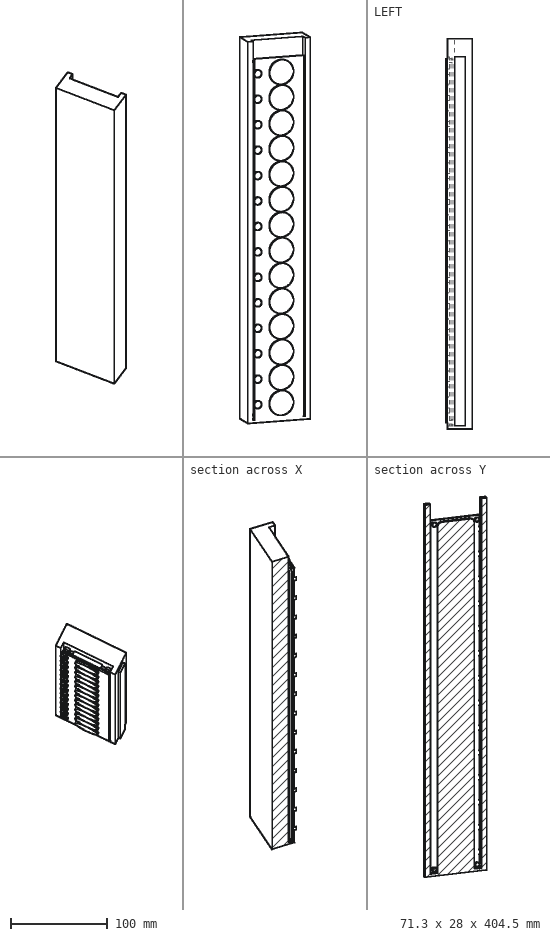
import cadquery as cq

height = 404.5
width = 68.8
depth = 26.0
back = depth
center_x = width / 2

recess_width = 57.0
recess_depth = 7.0
recess_floor = 3.2
recess_face = back - recess_depth

strip_rise = 2.5
strip_depth = 11.0
strip_y = 7.5
strip_bottom = 3.2
strip_top = 386.0

panel_width = 54.0
panel_thickness = 2.0
panel_top = strip_top
panel_inner_face = back - panel_thickness

core_width = 32.5
core_top = panel_top - 2.0
flange_width = 41.3
flange_thickness = 2.5
flange_radius = 5.0

post_diameter = 4.0
post_base_diameter = 5.3
post_offset = 24.0
post_inset = 4.0

gap_middle = (recess_face + panel_inner_face) / 2

cap_count = 14
cap_diameter = 26.3
cap_row_length = 377.0
cap_row_bottom = 6.5
cap_shift = -2.0
cap_rise = 2.0
cap_pitch = (cap_row_length - cap_diameter) / (cap_count - 1)
button_diameter = 8.0
button_offset = post_offset


def block(x_size, y_min, y_max, z_min, z_max):
    """Box centred across the housing width."""
    size_y = y_max - y_min
    size_z = z_max - z_min
    corner = (center_x - x_size / 2, y_min, z_min)
    return cq.Workplane("XY").box(x_size, size_y, size_z, centered=False).translate(corner)


def disc(diameter, x, z, y_min, y_max):
    """Cylinder along Y."""
    axis = cq.Vector(0, 1, 0)
    return cq.Workplane(cq.Solid.makeCylinder(diameter / 2, y_max - y_min, cq.Vector(x, y_min, z), axis))


def make_housing():
    body = block(width, 0, depth, 0, height)
    recess = block(recess_width, recess_face, back, recess_floor, height)
    strip = (
        cq.Workplane("XY")
        .box(strip_rise, strip_depth, strip_top - strip_bottom, centered=False)
        .translate((-strip_rise, strip_y, strip_bottom))
    )
    return body.cut(recess).union(strip)


def make_panel():
    panel = block(panel_width, panel_inner_face, back, recess_floor, panel_top)
    core = block(core_width, recess_face, panel_inner_face, recess_floor, core_top)
    flange = block(
        flange_width,
        gap_middle - flange_thickness / 2,
        gap_middle + flange_thickness / 2,
        recess_floor,
        core_top,
    )
    flange = flange.edges("|Y and >Z").fillet(flange_radius)
    panel = panel.union(core).union(flange)
    for side in (-1, 1):
        for z in (recess_floor + post_inset, panel_top - post_inset):
            x = center_x + side * post_offset
            base = disc(post_base_diameter, x, z, recess_face, gap_middle)
            post = disc(post_diameter, x, z, gap_middle, panel_inner_face)
            panel = panel.union(base).union(post)
    return panel


def add_caps(part):
    """Caps and buttons pass through the panel, so they fuse with it."""
    start = panel_inner_face
    end = back + cap_rise
    for i in range(cap_count):
        z = cap_row_bottom + cap_diameter / 2 + i * cap_pitch
        part = part.union(disc(cap_diameter, center_x + cap_shift, z, start, end))
        part = part.union(disc(button_diameter, center_x + button_offset, z, start, end))
    return part


result = add_caps(make_housing().union(make_panel()))